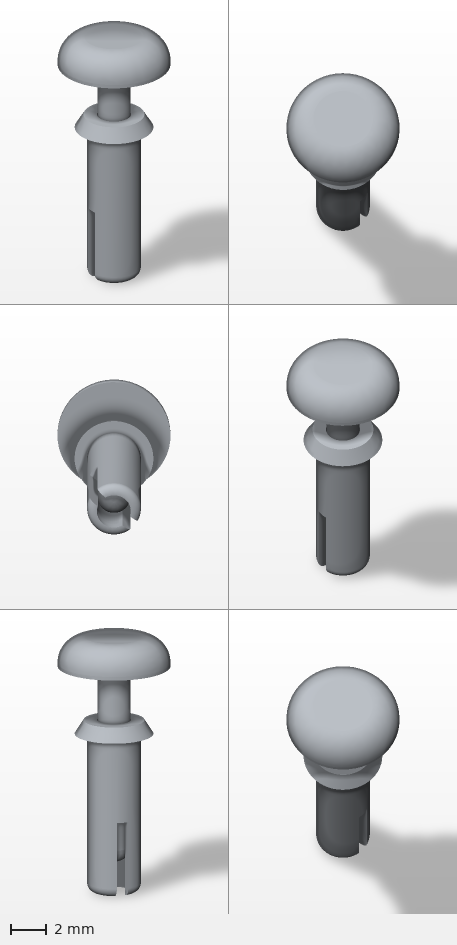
import cadquery as cq

total_height = 14.7

head_diameter = 6.3
head_height = 1.7
head_round = 1.5
shank_diameter = 1.85
shank_tip_z = 1.76
shank_tip_round = 0.82

sleeve_diameter = 3.0
bore_diameter = 1.9
collar_bottom_diameter = 4.4
collar_top_diameter = 3.4
collar_height = 0.8
collar_bottom_z = 9.1
sleeve_tip_round = 0.5
slot_width = 0.68
slot_height = 4.32

head_bottom_z = total_height - head_height
collar_top_z = collar_bottom_z + collar_height


def make_pin():
    """Head with a rounded upper edge, and a shank with a rounded tip."""
    head = (
        cq.Workplane("XY", origin=(0, 0, head_bottom_z))
        .circle(head_diameter / 2)
        .extrude(head_height)
        .faces(">Z")
        .edges()
        .fillet(head_round)
    )
    shank = (
        cq.Workplane("XY", origin=(0, 0, shank_tip_z))
        .circle(shank_diameter / 2)
        .extrude(head_bottom_z - shank_tip_z)
        .faces("<Z")
        .edges()
        .fillet(shank_tip_round)
    )
    return head.union(shank)


def make_sleeve():
    """Tube with a rounded tip and a collar, bored through and split along Y."""
    tube = (
        cq.Workplane("XY")
        .circle(sleeve_diameter / 2)
        .extrude(collar_top_z)
        .faces("<Z")
        .edges()
        .fillet(sleeve_tip_round)
    )
    collar = (
        cq.Workplane("XY", origin=(0, 0, collar_bottom_z))
        .circle(collar_bottom_diameter / 2)
        .workplane(offset=collar_height)
        .circle(collar_top_diameter / 2)
        .loft(ruled=True)
    )
    bore = cq.Workplane("XY").circle(bore_diameter / 2).extrude(collar_top_z)
    slot = cq.Workplane("XY").box(
        slot_width, sleeve_diameter, slot_height, centered=(True, True, False)
    )
    return tube.union(collar).cut(bore).cut(slot)


pin = make_pin()
sleeve = make_sleeve()

result = cq.Compound.makeCompound([pin.val(), sleeve.val()])